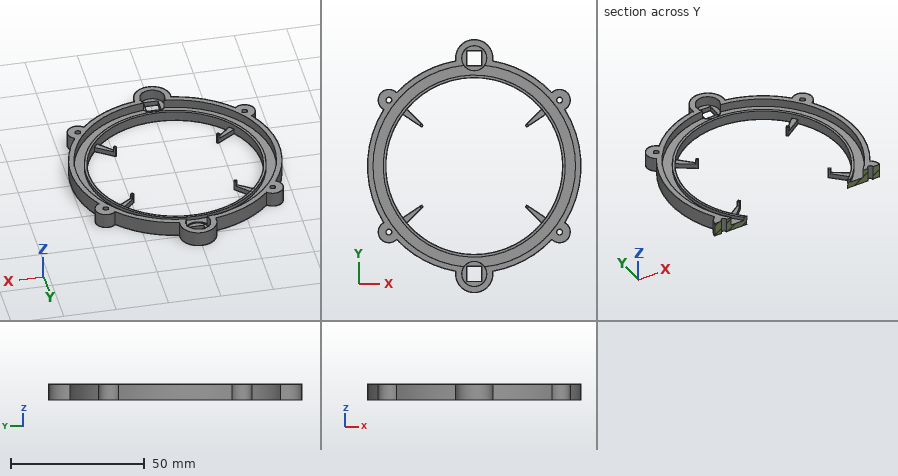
import cadquery as cq
import math

height = 6.0
outer_diameter = 79.8
channel_diameter = 75.6
lip_diameter = 68.0
bore_diameter = 66.0
floor_height = 2.55
lip_height = 4.0

overall_length = 94.5
ear_radius = 7.0
ear_distance = overall_length / 2 - ear_radius
pocket_diameter = 9.4
pocket_floor = 2.0
square_hole_side = 5.6

tab_diameter = 8.0
screw_hole_diameter = 2.1
tab_x = 31.9
tab_y = math.sqrt(ear_distance**2 - tab_x**2)

finger_tip_upper = (19.1, 15.2)
finger_tip_lower = (19.6, 14.6)
finger_root_upper = (25.5, 21.65)
finger_root_lower = (27.2, 19.7)
finger_height = 2.0
hook_height = 4.0
hook_length = 0.9

ear_points = [(0, ear_distance), (0, -ear_distance)]
tab_points = [(sx * tab_x, sy * tab_y) for sx in (-1, 1) for sy in (-1, 1)]


def cylinders(points, diameter, bottom, top):
    """Upright cylinders at the given points, between two heights."""
    plane = cq.Workplane("XY").workplane(offset=bottom)
    return plane.pushPoints(points).circle(diameter / 2).extrude(top - bottom)


def point_along(start, end, distance):
    """Point at a distance from start on the line towards end."""
    fraction = distance / math.dist(start, end)
    return tuple(a + fraction * (b - a) for a, b in zip(start, end))


def make_body():
    """Ring with ears and tabs, and a channel inside its rim with a raised inner lip."""
    center = [(0, 0)]
    body = cylinders(center, outer_diameter, 0, height)
    body = body.union(cylinders(ear_points, 2 * ear_radius, 0, height))
    body = body.union(cylinders(tab_points, tab_diameter, 0, height))
    body = body.cut(cylinders(center, channel_diameter, floor_height, height))
    body = body.union(cylinders(center, lip_diameter, 0, lip_height))
    return body.cut(cylinders(center, bore_diameter, 0, height))


def make_finger():
    """Tapered finger whose root is sunk into the ring wall."""
    hook_upper = point_along(finger_tip_upper, finger_root_upper, hook_length)
    hook_lower = point_along(finger_tip_lower, finger_root_lower, hook_length)
    blade_outline = [finger_tip_upper, finger_root_upper, finger_root_lower, finger_tip_lower]
    hook_outline = [finger_tip_upper, hook_upper, hook_lower, finger_tip_lower]
    blade = cq.Workplane("XY").polyline(blade_outline).close().extrude(finger_height)
    hook = cq.Workplane("XY").polyline(hook_outline).close().extrude(hook_height)
    return blade.union(hook)


result = make_body()

result = result.cut(cylinders(ear_points, pocket_diameter, pocket_floor, height))
square_holes = cq.Workplane("XY").pushPoints(ear_points).rect(square_hole_side, square_hole_side)
result = result.cut(square_holes.extrude(height))

result = result.cut(cylinders(tab_points, screw_hole_diameter, 0, height))

finger = make_finger()
finger_pair = finger.union(finger.mirror("YZ"))
result = result.union(finger_pair).union(finger_pair.mirror("XZ"))